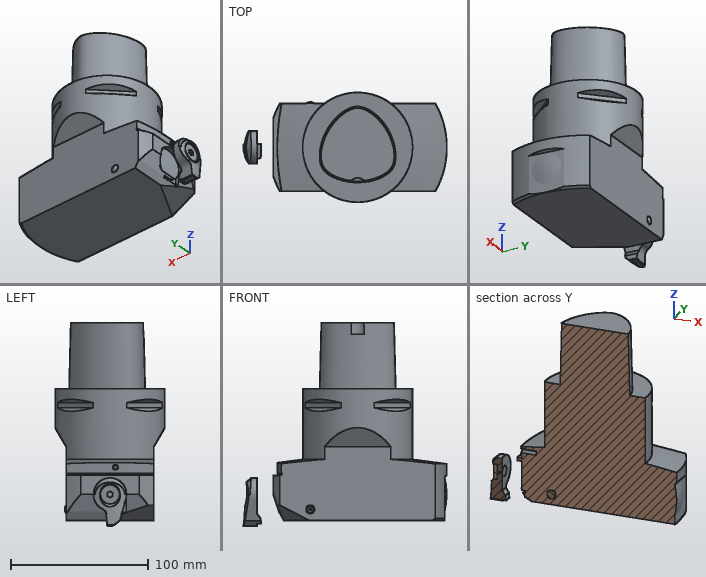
import cadquery as cq
import math

flange_diameter = 80.0
flange_radius = flange_diameter / 2
flange_top_z = 95.9
shank_top_z = 144.0
base_radius = 65.0
body_width = 64.0
half_width = body_width / 2
margin = 29.7
clearance = 1.5

lobe_mean_radius = 27.8
lobe_amplitude = 2.1
taper_rate = 1 / 40
lobe_half_angle = 33.5
points_per_piece = 9
key_radius = 6.2
key_depth = 2.2
key_floor_z = 135.4

groove_mid_z = 83.9
groove_floor_height = 3.4
groove_floor_offset = 35.5
groove_flank_angle = 30.0

cone_foot_z = 41.3
cone_head_z = 44.5
bottom_chamfer_width = 1.8
bottom_chamfer_height = 1.6
flat_top_z = 53.7
flat_slope_top_z = 67.5

nose_x = -61.5
shelf_z = 33.0
shelf_cut_back_x = -49.0
shelf_wall_x = -58.5
shelf_wall_radius = 170.8
undercut_depth = 0.5
undercut_mid_z = 34.2
undercut_top_z = 34.6
nose_bevel = [(nose_x, 19.0), (-57.3, 6.5), (-53.7, 0.0)]
corner_top_z = 11.1
corner_foot_x = -35.2
corner_turn = 62.3
nozzle_y = -4.0
nozzle_z = 38.8
nozzle_mouth_diameter = 4.0
nozzle_diameter = 2.8
nozzle_depth = 11.9

seat_z = 19.0
seat_diameter = 24.0
seat_floor_x = -58.2
relief_floor_x = -55.2
relief_bottom_z = 6.0
relief_y = (-11.9, 3.0)

heel_x = 63.4
heel_top_z = 31.6
dome_diameter = seat_diameter
dome_z = seat_z
dome_height = 1.5

pin_x = -34.5
pin_z = 8.2
pin_diameter = 6.2
pin_cone_diameter = 4.8
pin_cone_depth = 1.6
pin_hole_diameter = 1.5
pin_hole_depth = 4.5
pin_crown_diameter = 6.0
pin_crown_height = 1.0

arm_start_angle = 195.3
arm_front_corner = (-7.3, 0.0)
arm_tip_bevel = (-3.0, -3.3)
arm_tip_front_y = -1.5
arm_tip_back_y = 1.8
arm_back_foot = (2.2, -3.0)
arm_neck_foot = (2.7, 4.5)
arm_neck_middle = (3.5, 6.7)
arm_neck_angle = -57.0
insert_radius = seat_diameter / 2
insert_back_x = -73.2
insert_face_radius = 29.7
insert_top_face_x = -80.8
insert_low_face_x = -83.0
insert_kick_z = -3.0
insert_tip_x = -83.5
insert_tip_z = -4.0
insert_lean = math.degrees(
    math.atan2(insert_top_face_x - insert_low_face_x, seat_z + insert_radius - insert_kick_z)
)
insert_flare_top_z = 5.0
insert_flare_foot_x = -70.7
insert_flare_foot_z = 1.6
insert_flare_x = -70.1
insert_step_z = -2.4
insert_bevel_x = -77.5
screw_head_diameter = 14.0
screw_head_x = -80.2
screw_head_height = 3.0
screw_shank_diameter = 8.0
socket_width = 4.0
socket_depth = 2.2


def lobe_point(normal_angle, radius):
    """Point of the constant-width three-lobed outline whose normal has this angle."""
    support = radius + lobe_amplitude * math.cos(3 * (normal_angle - math.pi / 2))
    slope = -3 * lobe_amplitude * math.sin(3 * (normal_angle - math.pi / 2))
    return (
        support * math.cos(normal_angle) - slope * math.sin(normal_angle),
        support * math.sin(normal_angle) + slope * math.cos(normal_angle),
    )


def lobe_wire(radius, z):
    """Closed outline of three lobes and three sides, each one smooth curve."""
    side_half_angle = 60.0 - lobe_half_angle
    edges = []
    for piece in range(6):
        middle = 90.0 + 60.0 * piece
        spread = lobe_half_angle if piece % 2 == 0 else side_half_angle
        points = []
        for step in range(points_per_piece):
            angle = math.radians(middle - spread + 2 * spread * step / (points_per_piece - 1))
            points.append(cq.Vector(*lobe_point(angle, radius), z))
        tangents = []
        for end in (middle - spread, middle + spread):
            tangents.append(cq.Vector(-math.sin(math.radians(end)), math.cos(math.radians(end)), 0))
        edges.append(cq.Edge.makeSpline(points, tangents=tangents))
    return cq.Wire.assembleEdges(edges)


def box_between(x_range, y_range, z_range):
    size = [high - low for low, high in (x_range, y_range, z_range)]
    return cq.Workplane("XY").box(*size, centered=False).translate((x_range[0], y_range[0], z_range[0]))


def cylinder_along_x(diameter, x_start, x_end, y, z):
    return (
        cq.Workplane("YZ", origin=(x_start, 0, 0)).center(y, z)
        .circle(diameter / 2).extrude(x_end - x_start)
    )


def cap_point(rim_radius, height):
    """Height and radius of a point halfway out on a spherical cap."""
    sphere_radius = (rim_radius**2 + height**2) / (2 * height)
    mid_radius = rim_radius / 2
    mid_height = height - sphere_radius + math.sqrt(sphere_radius**2 - mid_radius**2)
    return (mid_height, mid_radius)


def make_shank():
    top_radius = lobe_mean_radius - taper_rate * (shank_top_z - flange_top_z)
    foot = lobe_wire(lobe_mean_radius, flange_top_z)
    top = lobe_wire(top_radius, shank_top_z)
    shank = cq.Workplane(cq.Solid.makeLoft([foot, top], True))
    side_y = -(top_radius - lobe_amplitude)
    key_axis_y = side_y + key_depth - key_radius
    key = (
        cq.Workplane("XY", origin=(0, key_axis_y, key_floor_z))
        .circle(key_radius).extrude(shank_top_z - key_floor_z)
    )
    return shank.cut(key)


def make_gripper_groove(turn):
    """Trapezoid groove across the flange, its floor facing +X before it is turned about Z."""
    depth = flange_radius - groove_floor_offset + clearance
    half_floor = groove_floor_height / 2
    half_mouth = half_floor + depth * math.tan(math.radians(groove_flank_angle))
    outline = [
        (groove_floor_offset, groove_mid_z - half_floor),
        (groove_floor_offset + depth, groove_mid_z - half_mouth),
        (groove_floor_offset + depth, groove_mid_z + half_mouth),
        (groove_floor_offset, groove_mid_z + half_floor),
    ]
    groove = cq.Workplane("XZ").polyline(outline).close().extrude(flange_radius, both=True)
    return groove.rotate((0, 0, 0), (0, 0, 1), turn)


def make_round_blank():
    profile = [
        (0, 0),
        (base_radius - bottom_chamfer_width, 0),
        (base_radius, bottom_chamfer_height),
        (base_radius, cone_foot_z),
        (flange_radius, cone_head_z),
        (flange_radius, flange_top_z),
        (0, flange_top_z),
    ]
    return cq.Workplane("XZ").polyline(profile).close().revolve(360, (0, 0, 0), (0, 1, 0))


def make_width_limit():
    """Prism that leaves the two side flats and the slopes above them."""
    half_outline = [
        (half_width, 0),
        (half_width, flat_top_z),
        (flange_radius, flat_slope_top_z),
        (flange_radius, flange_top_z),
    ]
    mirrored = [(-y, z) for y, z in reversed(half_outline)]
    return cq.Workplane("YZ").polyline(half_outline + mirrored).close().extrude(2 * base_radius, both=True)


def make_shelf_cut():
    """Space above the shelf, in front of a shallow round wall with an undercut at its foot."""
    space = box_between(
        (nose_x - margin, shelf_cut_back_x), (-base_radius, base_radius), (shelf_z, flat_top_z)
    )
    wall_profile = [
        (0, shelf_z),
        (shelf_wall_radius, shelf_z),
        (shelf_wall_radius - undercut_depth, undercut_mid_z),
        (shelf_wall_radius, undercut_top_z),
        (shelf_wall_radius, flat_top_z),
        (0, flat_top_z),
    ]
    wall = (
        cq.Workplane("XZ").polyline(wall_profile).close()
        .revolve(360, (0, 0, 0), (0, 1, 0))
        .translate((shelf_wall_x + shelf_wall_radius, 0, 0))
    )
    return space.cut(wall)


def make_nose_cut():
    """Everything in front of the upright nose face and the two bevels below it."""
    outer_x = nose_x - margin
    outline = [(outer_x, shelf_z), (nose_x, shelf_z)] + nose_bevel + [(outer_x, 0)]
    return cq.Workplane("XZ").polyline(outline).close().extrude(base_radius, both=True)


def make_corner_cut():
    """Wedge off the lower front corner of the nose; its sloping face has a level upper edge."""
    edge_x = -math.sqrt(base_radius**2 - half_width**2)
    turn = math.radians(corner_turn)
    inward = (math.sin(turn), math.cos(turn), 0)
    along_edge = (math.cos(turn), -math.sin(turn), 0)
    reach = (corner_foot_x - edge_x) * math.sin(turn)
    plane = cq.Plane(origin=(edge_x, -half_width, 0), xDir=inward, normal=along_edge)
    outline = [
        (-margin, -margin),
        (-margin, corner_top_z * (1 + margin / reach)),
        (reach * (1 + margin / corner_top_z), -margin),
    ]
    return cq.Workplane(plane).polyline(outline).close().extrude(2 * half_width, both=True)


def make_seat_cut():
    """Round recess for the insert and the deeper relief below its seat."""
    seat = cylinder_along_x(seat_diameter, nose_x - margin, seat_floor_x, 0, seat_z)
    relief = box_between((nose_x - margin, relief_floor_x), relief_y, (relief_bottom_z, seat_z))
    seat_land = cylinder_along_x(seat_diameter, seat_floor_x, relief_floor_x, 0, seat_z)
    return seat.union(relief.cut(seat_land))


def make_nozzle_cut():
    countersink = (nozzle_mouth_diameter - nozzle_diameter) / 2
    outline = [
        (-margin, 0),
        (-margin, nozzle_mouth_diameter / 2),
        (0, nozzle_mouth_diameter / 2),
        (countersink, nozzle_diameter / 2),
        (nozzle_depth, nozzle_diameter / 2),
        (nozzle_depth, 0),
    ]
    tool = cq.Workplane("XY").polyline(outline).close().revolve(360, (0, 0, 0), (1, 0, 0))
    return tool.translate((shelf_wall_x, nozzle_y, nozzle_z))


def make_heel_cut():
    """Flat on the plain end, with a bevelled upper edge and a shallow dome left standing."""
    rise = base_radius - heel_x
    outline = [
        (heel_x, -clearance),
        (base_radius + clearance, -clearance),
        (base_radius + clearance, heel_top_z + rise + clearance),
        (heel_x, heel_top_z),
    ]
    space = cq.Workplane("XZ").polyline(outline).close().extrude(base_radius, both=True)
    dome = (
        cq.Workplane("XY", origin=(heel_x, 0, dome_z))
        .moveTo(-clearance, 0)
        .lineTo(-clearance, dome_diameter / 2)
        .lineTo(0, dome_diameter / 2)
        .threePointArc(cap_point(dome_diameter / 2, dome_height), (dome_height, 0))
        .close()
        .revolve(360, (0, 0, 0), (1, 0, 0))
    )
    return space.cut(dome)


def make_pin():
    """Flush conical socket on the front (-Y) flat, crowned end standing out at the back."""
    length = 2 * half_width
    profile = [
        (0, pin_hole_depth),
        (pin_hole_diameter / 2, pin_hole_depth),
        (pin_hole_diameter / 2, pin_cone_depth),
        (pin_cone_diameter / 2, 0),
        (pin_diameter / 2, 0),
        (pin_diameter / 2, length),
        (pin_crown_diameter / 2, length),
    ]
    crown_height, crown_r = cap_point(pin_crown_diameter / 2, pin_crown_height)
    pin = (
        cq.Workplane("XY").polyline(profile)
        .threePointArc((crown_r, length + crown_height), (0, length + pin_crown_height))
        .close().revolve(360, (0, 0, 0), (0, 1, 0))
    )
    return pin.translate((pin_x, -half_width, pin_z))


def make_pin_hole():
    return (
        cq.Workplane("XZ", origin=(pin_x, 0, pin_z))
        .circle(pin_diameter / 2).extrude(half_width, both=True)
    )


def make_housing():
    housing = make_round_blank().intersect(make_width_limit())
    for quarter in range(4):
        housing = housing.cut(make_gripper_groove(45 + 90 * quarter))
    housing = housing.cut(make_shelf_cut()).cut(make_nose_cut()).cut(make_corner_cut())
    housing = housing.cut(make_seat_cut()).cut(make_nozzle_cut()).cut(make_heel_cut())
    return housing.cut(make_pin_hole()).union(make_shank())


def rim_point(angle):
    """Point in Y, Z on the round rim of the insert."""
    turn = math.radians(angle)
    return (insert_radius * math.cos(turn), seat_z + insert_radius * math.sin(turn))


def make_insert_side_prism():
    """Disc with a narrow cutting arm hanging from it, as an outline in Y and Z."""
    arm_start = rim_point(arm_start_angle)
    return (
        cq.Workplane("YZ", origin=(insert_tip_x - clearance, 0, 0))
        .moveTo(*arm_start)
        .lineTo(*arm_front_corner)
        .lineTo(*arm_tip_bevel)
        .lineTo(arm_tip_front_y, insert_tip_z)
        .lineTo(arm_tip_back_y, insert_tip_z)
        .lineTo(*arm_back_foot)
        .lineTo(*arm_neck_foot)
        .threePointArc(arm_neck_middle, rim_point(arm_neck_angle))
        .threePointArc((0, seat_z + insert_radius), arm_start)
        .close()
        .extrude(margin)
    )


def insert_face_section(z, face_x):
    """Level section of the insert: round face towards -X, flat behind the deepest point of the back."""
    span = insert_radius + clearance
    sag = insert_face_radius - math.sqrt(insert_face_radius**2 - span**2)
    return (
        cq.Workplane("XY", origin=(0, 0, z))
        .moveTo(face_x + sag, -span)
        .threePointArc((face_x, 0), (face_x + sag, span))
        .lineTo(insert_flare_x, span)
        .lineTo(insert_flare_x, -span)
        .close()
        .val()
    )


def make_insert_face_prism():
    """Leaning round face that kicks out at the cutting tip."""
    sections = [
        insert_face_section(seat_z + insert_radius, insert_top_face_x),
        insert_face_section(insert_kick_z, insert_low_face_x),
        insert_face_section(insert_tip_z, insert_tip_x),
    ]
    return cq.Workplane(cq.Solid.makeLoft(sections, True))


def make_insert_back_prism():
    """Flat back that flares towards the housing above a step at the tip."""
    front_x = insert_tip_x - clearance
    outline = [
        (front_x, seat_z + insert_radius),
        (insert_back_x, seat_z + insert_radius),
        (insert_back_x, insert_flare_top_z),
        (insert_flare_foot_x, insert_flare_foot_z),
        (insert_flare_x, insert_step_z),
        (insert_back_x, insert_step_z),
        (insert_back_x, insert_tip_z),
        (front_x, insert_tip_z),
    ]
    return cq.Workplane("XZ").polyline(outline).close().extrude(margin, both=True)


def make_insert_bevel():
    """Half ring that bevels the upper rim of the face, leaning with the face."""
    size = insert_radius / 2
    triangle = [
        (insert_bevel_x, insert_radius),
        (insert_bevel_x - size, insert_radius - size),
        (insert_bevel_x - size, insert_radius + size),
        (insert_bevel_x, insert_radius + size),
    ]
    ring = (
        cq.Workplane("XY").polyline(triangle).close().revolve(180, (0, 0, 0), (1, 0, 0))
    )
    return ring.translate((0, 0, seat_z)).rotate(
        (insert_bevel_x, 0, seat_z + insert_radius), (insert_bevel_x, 1, seat_z + insert_radius), insert_lean
    )


def make_screw_envelope():
    """Solid shape of the screw, without its socket."""
    head = cylinder_along_x(screw_head_diameter, screw_head_x, screw_head_x + screw_head_height, 0, seat_z)
    shank = cylinder_along_x(screw_shank_diameter, screw_head_x, insert_back_x, 0, seat_z)
    return head.union(shank)


def make_screw():
    socket = (
        cq.Workplane("YZ", origin=(screw_head_x, 0, seat_z))
        .polygon(6, socket_width / math.cos(math.radians(30)))
        .extrude(socket_depth)
        .rotate((0, 0, seat_z), (1, 0, seat_z), 90)
    )
    return make_screw_envelope().cut(socket)


def make_insert():
    insert = make_insert_side_prism().intersect(make_insert_face_prism())
    insert = insert.intersect(make_insert_back_prism()).cut(make_insert_bevel())
    sink_depth = screw_head_x - insert_tip_x
    head_radius = screw_head_diameter / 2
    countersink = (
        cq.Workplane("YZ", origin=(screw_head_x, 0, seat_z))
        .circle(head_radius)
        .workplane(offset=-sink_depth)
        .circle(head_radius + sink_depth)
        .loft()
    )
    return insert.cut(countersink).cut(make_screw_envelope())


housing = make_housing()
pin = make_pin()
insert = make_insert()
screw = make_screw()

result = cq.Compound.makeCompound(
    [housing.solids().val(), pin.solids().val(), insert.solids().val(), screw.solids().val()]
)